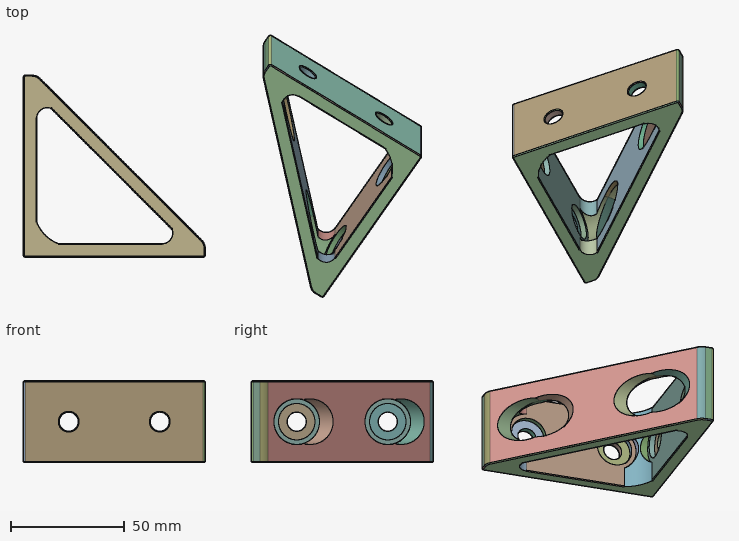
import cadquery as cq
import math

LEG_LENGTH = 80.0
HEIGHT = 36.0
WALL = 6.0
END_WIDTH = 6.0
END_RADIUS = 5.0
CORNER_RADIUS = 1.0
OUTER_CHAMFER = 0.5

WINDOW_REACH = 65.65
WINDOW_RADIUS = 4.6
WINDOW_CHAMFER = 0.4
GUSSET_REACH = 9.5
GUSSET_RADIUS = 16.0

HOLE_DIAMETER = 8.3
HOLE_CHAMFER = 0.4
HOLE_DEPTH = 3.5
SEAT_DIAMETER = 16.0
ACCESS_DIAMETER = 20.0
HOLE_POSITIONS = (20.0, 60.0)

OUTER_SLOPE_SUM = LEG_LENGTH + END_WIDTH
INNER_SLOPE_SUM = OUTER_SLOPE_SUM - WALL * math.sqrt(2)

CORNER_X = WINDOW_REACH - WINDOW_RADIUS
CORNER_Y = WALL + WINDOW_RADIUS
SLOPE_DISTANCE = (INNER_SLOPE_SUM - CORNER_X - CORNER_Y) / math.sqrt(2)
ARC_END_ANGLE = math.pi / 4 - math.acos(SLOPE_DISTANCE / WINDOW_RADIUS)
SLOPE_END_FAR = CORNER_X + WINDOW_RADIUS * math.cos(ARC_END_ANGLE)
SLOPE_END_NEAR = CORNER_Y + WINDOW_RADIUS * math.sin(ARC_END_ANGLE)
GUSSET_END = WALL + GUSSET_REACH


def edge_near(x, y):
    """Selector for the vertical edge at (x, y)."""
    return cq.selectors.NearestToPointSelector((x, y, HEIGHT / 2))


def make_body():
    """Solid triangle with cut-off tips, rounded upright edges and chamfered rims."""
    outline = [
        (0, 0),
        (LEG_LENGTH, 0),
        (LEG_LENGTH, END_WIDTH),
        (END_WIDTH, LEG_LENGTH),
        (0, LEG_LENGTH),
    ]
    body = cq.Workplane("XY").polyline(outline).close().extrude(HEIGHT)
    for x, y in ((LEG_LENGTH, END_WIDTH), (END_WIDTH, LEG_LENGTH)):
        body = body.edges(edge_near(x, y)).fillet(END_RADIUS)
    for x, y in ((0, 0), (LEG_LENGTH, 0), (0, LEG_LENGTH)):
        body = body.edges(edge_near(x, y)).fillet(CORNER_RADIUS)
    return body.faces("<Z or >Z").chamfer(OUTER_CHAMFER)


def make_window():
    """Prism with rounded acute corners and a concave gusset in the square corner."""
    return (
        cq.Workplane("XY")
        .moveTo(GUSSET_END, WALL)
        .lineTo(CORNER_X, WALL)
        .radiusArc((SLOPE_END_FAR, SLOPE_END_NEAR), -WINDOW_RADIUS)
        .lineTo(SLOPE_END_NEAR, SLOPE_END_FAR)
        .radiusArc((WALL, CORNER_X), -WINDOW_RADIUS)
        .lineTo(WALL, GUSSET_END)
        .radiusArc((GUSSET_END, WALL), -GUSSET_RADIUS)
        .close()
        .extrude(HEIGHT)
    )


def make_edge_chamfer(start, end):
    """Square bars standing on edge that bevel one window side at the top and bottom."""
    length = math.dist(start, end)
    angle = math.degrees(math.atan2(end[1] - start[1], end[0] - start[0]))
    middle_x = (start[0] + end[0]) / 2
    middle_y = (start[1] + end[1]) / 2
    side = WINDOW_CHAMFER * math.sqrt(2)
    bar = cq.Workplane("XY").box(length, side, side).rotate((0, 0, 0), (1, 0, 0), 45)
    bar = bar.rotate((0, 0, 0), (0, 0, 1), angle).translate((middle_x, middle_y, 0))
    return bar.union(bar.translate((0, 0, HEIGHT)))


def make_leg_hole(position):
    """Screw hole along Y with a chamfered mouth, a screw seat and tool access."""
    leg_face = cq.Workplane("XZ", origin=(position, 0, HEIGHT / 2))
    hole = leg_face.circle(HOLE_DIAMETER / 2).extrude(-WALL)
    seat = leg_face.workplane(offset=-HOLE_DEPTH).circle(SEAT_DIAMETER / 2).extrude(-WALL)
    access = leg_face.workplane(offset=-WALL).circle(ACCESS_DIAMETER / 2).extrude(-LEG_LENGTH)
    mouth = (
        leg_face.circle(HOLE_DIAMETER / 2 + HOLE_CHAMFER)
        .workplane(offset=-HOLE_CHAMFER)
        .circle(HOLE_DIAMETER / 2)
        .loft()
    )
    return hole.union(seat).union(access).union(mouth)


def swap_x_and_y(shape):
    """Mirror a shape about the plane x = y."""
    return shape.rotate((0, 0, 0), (0, 0, 1), 90).mirror("YZ")


result = make_body().cut(make_window())

window_sides = [
    ((GUSSET_END, WALL), (CORNER_X, WALL)),
    ((WALL, GUSSET_END), (WALL, CORNER_X)),
    ((SLOPE_END_FAR, SLOPE_END_NEAR), (SLOPE_END_NEAR, SLOPE_END_FAR)),
]
for side_start, side_end in window_sides:
    result = result.cut(make_edge_chamfer(side_start, side_end))

for hole_position in HOLE_POSITIONS:
    leg_hole = make_leg_hole(hole_position)
    result = result.cut(leg_hole).cut(swap_x_and_y(leg_hole))